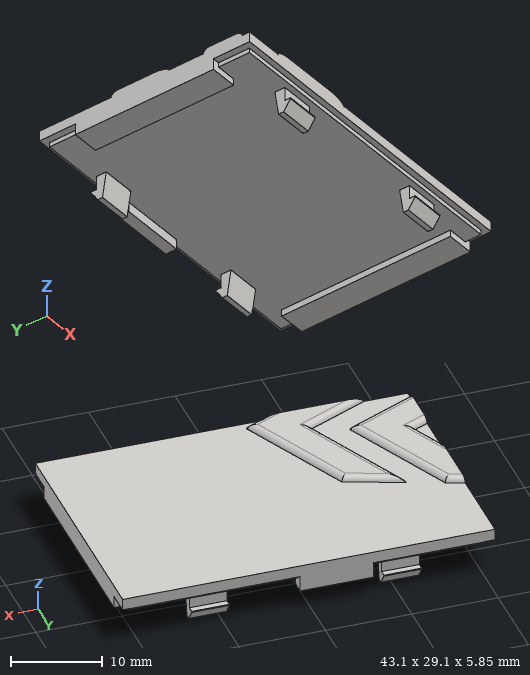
import cadquery as cq
import math

length = 43.1
width = 29.1
height = 5.85

relief_height = 0.6
plate_top = height - relief_height
plate_bottom = 3.9
step_bottom = 3.28
end_block_bottom = 2.4
side_tab_bottom = 2.0

step_inset_x = 0.9
step_inset_y = 0.75

end_block_length = 3.58
near_block_inset = 5.0
far_block_inset = 2.9
side_tab_start = 14.05
side_tab_length = 8.55
side_tab_depth = 1.5

clip_length = 4.4
clip_end_distance = 8.25
clip_outer = 1.5
clip_inner = far_block_inset
barb_outer = 0.75
barb_top = 1.5
barb_lip = 0.15
clip_tip_outer = 1.7
clip_tip_inner = 2.35

chevron_tilt = -20.0
chevron_nose = (8.4, 4.9)
chevron_thickness = 7.03
chevron_half_span = 10.55
chevron_pitch = 11.3
chevron_count = 2
relief_radius = 0.9


def block(x, y, bottom, x_size, y_size, top):
    """Box given by its lower corner, plan size and two levels."""
    size_z = top - bottom
    return cq.Workplane("XY").box(x_size, y_size, size_z, centered=False).translate((x, y, bottom))


def end_block(x, side_inset):
    """Block under one end of the plate, centred across the width."""
    return block(x, side_inset, end_block_bottom, end_block_length, width - 2 * side_inset, plate_bottom)


def clip(x):
    """Tapered snap clip with an outward barb, on the y = 0 side."""
    profile = [
        (clip_outer, step_bottom),
        (clip_outer, barb_top),
        (barb_outer, barb_top),
        (barb_outer, barb_top - barb_lip),
        (clip_tip_outer, 0),
        (clip_tip_inner, 0),
        (clip_inner, step_bottom),
    ]
    return cq.Workplane("YZ").workplane(offset=x).polyline(profile).close().extrude(clip_length)


def chevron(index):
    """Chevron whose rounded top edges meet the plate part-way down their arcs."""
    arc_run = math.sqrt(relief_radius**2 - (relief_radius - relief_height) ** 2)
    growth = relief_radius - arc_run
    tail = -chevron_half_span
    outline = [
        (0, 0),
        (tail, chevron_half_span),
        (tail - chevron_thickness, chevron_half_span),
        (-chevron_thickness, 0),
        (tail - chevron_thickness, -chevron_half_span),
        (tail, -chevron_half_span),
    ]
    foot = (plate_top + plate_bottom) / 2
    body = (
        cq.Workplane("XY")
        .polyline(outline)
        .close()
        .offset2D(growth, "intersection")
        .extrude(height - foot)
        .faces(">Z")
        .edges()
        .fillet(relief_radius)
    )
    body = body.translate((index * chevron_pitch, 0, foot))
    return body.rotate((0, 0, 0), (0, 0, 1), chevron_tilt).translate((*chevron_nose, 0))


result = block(0, 0, plate_bottom, length, width, plate_top)
result = result.union(
    block(
        step_inset_x,
        step_inset_y,
        step_bottom,
        length - 2 * step_inset_x,
        width - 2 * step_inset_y,
        plate_bottom,
    )
)

result = result.union(end_block(0, near_block_inset))
result = result.union(end_block(length - end_block_length, far_block_inset))
result = result.union(
    block(
        side_tab_start,
        width - side_tab_depth,
        side_tab_bottom,
        side_tab_length,
        side_tab_depth,
        plate_bottom,
    )
)

for clip_x in (clip_end_distance, length - clip_end_distance - clip_length):
    side_clip = clip(clip_x)
    result = result.union(side_clip)
    result = result.union(side_clip.mirror("XZ").translate((0, width, 0)))

plate_envelope = block(0, 0, plate_bottom, length, width, height)
for chevron_index in range(chevron_count):
    result = result.union(chevron(chevron_index).intersect(plate_envelope))